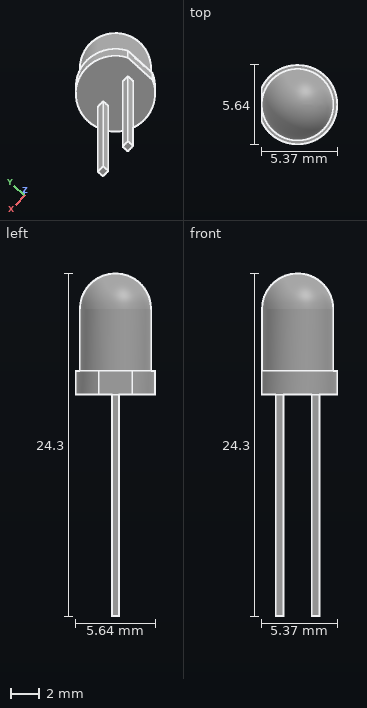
import cadquery as cq

total_height = 24.3
lens_diameter = 5.08
flange_diameter = 5.64
flange_width_x = 5.37
flange_height = 1.68

lead_length = 15.7
lead_pitch = 2.55
lead_width_x = 0.55
lead_width_y = 0.5
lead_embed = flange_height / 2

lens_radius = lens_diameter / 2
flange_radius = flange_diameter / 2
flat_x = flange_radius - flange_width_x
lens_top = total_height - lead_length
dome_base = lens_top - lens_radius


def make_flange():
    """Round flange cut off by a flat on its -X side."""
    disc = cq.Workplane("XY").circle(flange_radius).extrude(flange_height)
    keep = (
        cq.Workplane("XY")
        .box(flange_width_x, flange_diameter, flange_height, centered=(False, True, False))
        .translate((flat_x, 0, 0))
    )
    return disc.intersect(keep)


def make_lens():
    """Cylinder with a hemispherical top, revolved about Z."""
    arc_mid = lens_radius * 0.5 ** 0.5
    return (
        cq.Workplane("XZ")
        .lineTo(lens_radius, 0)
        .lineTo(lens_radius, dome_base)
        .threePointArc((arc_mid, dome_base + arc_mid), (0, lens_top))
        .close()
        .revolve(360, (0, 0, 0), (0, 1, 0))
    )


def make_lead(x):
    """Straight lead hanging below the flange, centred at the given x."""
    return (
        cq.Workplane("XY", origin=(x, 0, -lead_length))
        .rect(lead_width_x, lead_width_y)
        .extrude(lead_length + lead_embed)
    )


result = make_flange().union(make_lens())
for side in (-1, 1):
    result = result.union(make_lead(side * lead_pitch / 2))